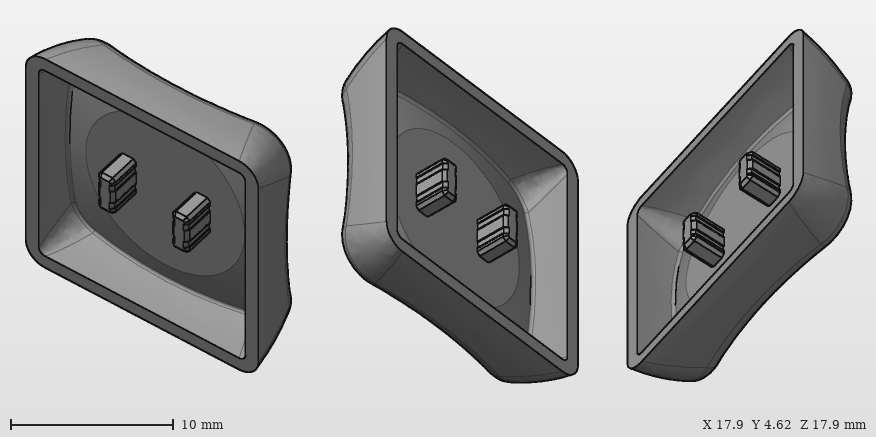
import cadquery as cq
import math

RIM_SECTION = (0.0, 17.9, 17.9, 1.5)
MIDDLE_SECTION = (2.33, 17.66, 17.4, 2.4)
CROWN_SECTION = (5.4, 16.4, 15.0, 3.2)
WALL_SECTIONS = (RIM_SECTION, MIDDLE_SECTION, CROWN_SECTION)
WALL = 1.0

DISH_RADIUS = 27.6
DISH_BOTTOM = 2.98
DISH_EDGE_FILLET = 1.2

CEILING_RADIUS = 33.0
CEILING_FLAT = 2.35
CEILING_FLAT_RADIUS = 6.12
CEILING_EDGE_FILLET = 0.2

STEM_SPACING = 5.7
STEM_WIDTH = 1.28
STEM_HEIGHT = 3.02
STEM_TIP = 0.0
STEM_CHAMFER = 0.23
STEM_ROOT = 0.2
GROOVE_DEPTH = 0.07
GROOVE_HEIGHT = 0.5
GROOVE_OFFSET = 0.74

STEM_LENGTH = CEILING_FLAT + STEM_ROOT - STEM_TIP
CEILING_BOTTOM = CEILING_FLAT + math.sqrt(CEILING_RADIUS**2 - CEILING_FLAT_RADIUS**2) - CEILING_RADIUS


def ball(radius, bottom):
    """A ball centred on the Y axis whose point nearest the rim is at Y = bottom."""
    return cq.Workplane("XY").sphere(radius).translate((0, bottom + radius, 0))


def rounded_rectangle(depth, width, height, corner):
    """A rounded rectangle parallel to the rim at Y = depth, taken from the back of a thin plate."""
    plate = cq.Workplane("XZ", origin=(0, depth, 0)).rect(width, height).extrude(WALL)
    return plate.edges("|Y").fillet(corner).faces(">Y").wires().val()


def wall_loft(inset):
    """The smooth solid through the wall sections, each drawn in by `inset`."""
    wires = []
    for depth, width, height, corner in WALL_SECTIONS:
        wires.append(rounded_rectangle(depth, width - 2 * inset, height - 2 * inset, corner - inset))
    return cq.Workplane(cq.Solid.makeLoft(wires))


def outer_body():
    """The dished keycap before it is hollowed, with the edge of the dish rounded."""
    body = wall_loft(0).cut(ball(DISH_RADIUS, DISH_BOTTOM))
    return body.faces("%SPHERE").edges().fillet(DISH_EDGE_FILLET)


def cavity():
    """The hollow below the spherical ceiling, with the round flat in its middle."""
    hollow = wall_loft(WALL).cut(ball(CEILING_RADIUS, CEILING_BOTTOM))
    hollow = hollow.faces("%SPHERE").edges().fillet(CEILING_EDGE_FILLET)
    flat_pocket = cq.Workplane("XZ").circle(CEILING_FLAT_RADIUS).extrude(-CEILING_FLAT)
    return hollow.union(flat_pocket)


def stem():
    """One stem, chamfered at its corners and tip, with two narrower bands as side grooves."""
    blade = cq.Workplane("XZ", origin=(0, STEM_TIP, 0)).rect(STEM_WIDTH, STEM_HEIGHT).extrude(-STEM_LENGTH)
    blade = blade.edges("|Y").chamfer(STEM_CHAMFER).faces("<Y").chamfer(STEM_CHAMFER)
    band_centre = cq.Vector(0, STEM_TIP + STEM_LENGTH / 2, 0)
    for end in (-1, 1):
        place = band_centre + cq.Vector(0, 0, end * GROOVE_OFFSET)
        full_band = cq.Workplane("XY").box(STEM_WIDTH, STEM_LENGTH, GROOVE_HEIGHT)
        narrow_band = cq.Workplane("XY").box(STEM_WIDTH - 2 * GROOVE_DEPTH, STEM_LENGTH, GROOVE_HEIGHT)
        narrow_band = narrow_band.faces("<Y").edges("|Z").chamfer(STEM_CHAMFER)
        blade = blade.cut(full_band.translate(place)).union(narrow_band.translate(place))
    return blade


result = outer_body().cut(cavity())
for side in (-1, 1):
    result = result.union(stem().translate((side * STEM_SPACING / 2, 0, 0)))